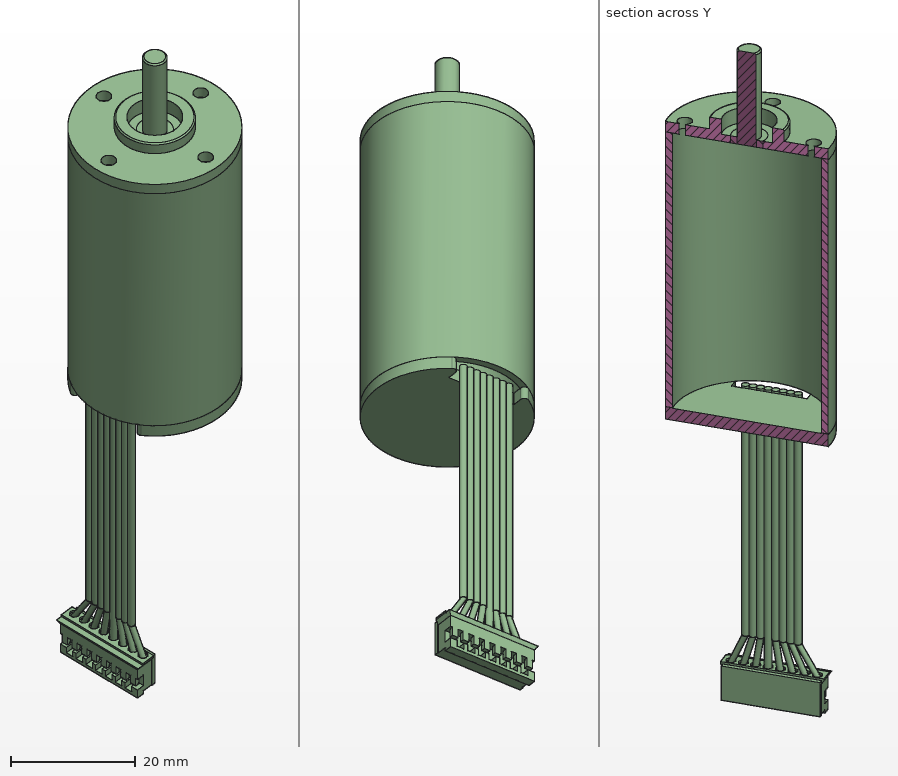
import cadquery as cq


MOTOR_DIA = 28.0
CAN_BORE_DIA = 25.5
CAN_LENGTH = 49.7
FLANGE_THICKNESS = 2.0
CAP_THICKNESS = 2.2
CAN_BOTTOM_Z = -FLANGE_THICKNESS - CAN_LENGTH
CAP_BOTTOM_Z = CAN_BOTTOM_Z - CAP_THICKNESS

BOSS_DIA = 13.0
BOSS_HEIGHT = 2.1
BOSS_CHAMFER = 0.2
MOUNT_HOLE_COUNT = 4
MOUNT_HOLE_DIA = 2.5
MOUNT_CIRCLE_DIA = 22.0

SHAFT_DIA = 4.0
SHAFT_TOP_Z = 15.0
SHAFT_CHAMFER = 0.2
BEARING_DIA = 6.0
RECESS_DIA = 9.0
RECESS_DEPTH = 2.7
BEARING_TOP_Z = BOSS_HEIGHT - RECESS_DEPTH

WIRE_COUNT = 8
CABLE_WIDTH = 10.3
WIRE_OVERLAP = 0.02
WIRE_PITCH = (CABLE_WIDTH - WIRE_OVERLAP) / WIRE_COUNT
WIRE_DIA = WIRE_PITCH + WIRE_OVERLAP
FAN_WIRE_DIA = 1.1
WIRE_Y = -10.6
FAN_TOP_Z = -96.9
STRAIGHT_WIRE = 4

NOTCH_WIDTH = 12.9
NOTCH_FLOOR_Y = -9.3
NOTCH_FILLET = 0.7

PIN_PITCH = 2.1
CONNECTOR_TOP_Z = -102.0
CONNECTOR_BOTTOM_Z = -109.2
BODY_WIDTH = 16.7
BODY_BACK_Y = -9.6
BODY_FRONT_Y = -12.9
BACK_PLATE_WIDTH = 16.9
BACK_PLATE_THICKNESS = 0.7
REAR_STEP_HEIGHT = 0.6
JAW_BACK_Y = -11.4
REAR_BOTTOM_Z = CONNECTOR_BOTTOM_Z + REAR_STEP_HEIGHT

PAD_FRONT_Y = -12.2
PAD_HEIGHT = 0.4
LIP_WIDTH = 17.6
LIP_OVERHANG = 0.4
LIP_TAPER_HEIGHT = 0.7
LIP_TOP_Z = CONNECTOR_TOP_Z - PAD_HEIGHT
LIP_BOTTOM_Z = LIP_TOP_Z - LIP_TAPER_HEIGHT
SOCKET_DIA = 1.6
SOCKET_FLOOR_Z = LIP_TOP_Z

WINDOW_TOP_Z = -105.3
WINDOW_HEIGHT = 2.2
WINDOW_BOTTOM_Z = WINDOW_TOP_Z - WINDOW_HEIGHT
TAB_WIDTH = 1.1
TAB_THICKNESS = 0.7
TAB_HEIGHT = 1.6
SLIT_WIDTH = 0.6
SLIT_DEPTH = 0.6
JAW_NOTCH_WIDTH = 1.4
JAW_NOTCH_HEIGHT = 1.1
OPENING_BOTTOM_Z = WINDOW_BOTTOM_Z - JAW_NOTCH_HEIGHT


def wire_x(index):
    """X of a wire in the parallel part of the cable."""
    return (index - (WIRE_COUNT - 1) / 2) * WIRE_PITCH


def pin_x(index):
    """X of a connector position; one wire runs straight down into its position."""
    return wire_x(STRAIGHT_WIRE) + (index - STRAIGHT_WIRE) * PIN_PITCH


CONNECTOR_X = (pin_x(0) + pin_x(WIRE_COUNT - 1)) / 2


def cylinder(diameter, bottom_z, top_z):
    return cq.Workplane("XY", origin=(0, 0, bottom_z)).circle(diameter / 2).extrude(top_z - bottom_z)


def block(center_x, width, back_y, front_y, bottom_z, top_z):
    """Box given by its centre and width along X and its limits along Y and Z."""
    size = (width, back_y - front_y, top_z - bottom_z)
    corner = (center_x - width / 2, front_y, bottom_z)
    return cq.Workplane("XY", origin=corner).box(*size, centered=False)


def make_flange():
    plate = cylinder(MOTOR_DIA, -FLANGE_THICKNESS, 0)
    boss = cylinder(BOSS_DIA, 0, BOSS_HEIGHT).faces(">Z").chamfer(BOSS_CHAMFER)
    holes = (
        cq.Workplane("XY", origin=(0, 0, -FLANGE_THICKNESS))
        .polarArray(MOUNT_CIRCLE_DIA / 2, 0, 360, MOUNT_HOLE_COUNT)
        .circle(MOUNT_HOLE_DIA / 2)
        .extrude(FLANGE_THICKNESS)
    )
    recess = cylinder(RECESS_DIA, BEARING_TOP_Z, BOSS_HEIGHT)
    bearing_seat = cylinder(BEARING_DIA, -FLANGE_THICKNESS, BEARING_TOP_Z)
    return plate.union(boss).cut(holes).cut(recess).cut(bearing_seat)


def make_bearing():
    """Bush around the shaft, flush with the floor of the recess."""
    bore = cylinder(SHAFT_DIA, -FLANGE_THICKNESS, BEARING_TOP_Z)
    return cylinder(BEARING_DIA, -FLANGE_THICKNESS, BEARING_TOP_Z).cut(bore)


def make_shaft():
    return cylinder(SHAFT_DIA, -FLANGE_THICKNESS, SHAFT_TOP_Z).faces(">Z").chamfer(SHAFT_CHAMFER)


def make_can():
    bore = cylinder(CAN_BORE_DIA, CAN_BOTTOM_Z, -FLANGE_THICKNESS)
    return cylinder(MOTOR_DIA, CAN_BOTTOM_Z, -FLANGE_THICKNESS).cut(bore)


def make_rear_cap():
    """Disc with a cable notch whose mouth is rounded at the rim."""
    disc = cylinder(MOTOR_DIA, CAP_BOTTOM_Z, CAN_BOTTOM_Z)
    notch = block(0, NOTCH_WIDTH, NOTCH_FLOOR_Y, -MOTOR_DIA / 2, CAP_BOTTOM_Z, CAN_BOTTOM_Z)
    return disc.cut(notch).edges("|Z").edges("<Y").fillet(NOTCH_FILLET)


def make_wire(index):
    """Round wire that slants sideways below the parallel part; the straight one keeps its size."""
    fan_dia = WIRE_DIA if index == STRAIGHT_WIRE else FAN_WIRE_DIA
    bend = cq.Vector(wire_x(index), WIRE_Y, FAN_TOP_Z)
    end = cq.Vector(pin_x(index), WIRE_Y, SOCKET_FLOOR_Z)
    section = cq.Wire.makeCircle(fan_dia / 2, bend, cq.Vector(0, 0, 1))
    slanted = cq.Solid.extrudeLinear(section, [], end - bend)
    parallel = (
        cq.Workplane("XY", origin=bend.toTuple())
        .circle(WIRE_DIA / 2)
        .extrude(CAN_BOTTOM_Z - FAN_TOP_Z)
    )
    return parallel.union(cq.Workplane(slanted))


def make_cable():
    cable = make_wire(0)
    for index in range(1, WIRE_COUNT):
        cable = cable.union(make_wire(index))
    return cable.clean()


def make_connector_lip():
    """Raised pad on a lip that tapers in to the body at the front and at both sides."""
    lip_front_y = BODY_FRONT_Y - LIP_OVERHANG
    pad = block(CONNECTOR_X, LIP_WIDTH, BODY_BACK_Y, PAD_FRONT_Y, LIP_TOP_Z, CONNECTOR_TOP_Z)
    front_outline = [
        (BODY_BACK_Y, LIP_TOP_Z),
        (lip_front_y, LIP_TOP_Z),
        (BODY_FRONT_Y, LIP_BOTTOM_Z),
        (BODY_BACK_Y, LIP_BOTTOM_Z),
    ]
    front_taper = (
        cq.Workplane("YZ", origin=(CONNECTOR_X, 0, 0))
        .polyline(front_outline)
        .close()
        .extrude(LIP_WIDTH / 2, both=True)
    )
    side_outline = [
        (-LIP_WIDTH / 2, LIP_TOP_Z),
        (LIP_WIDTH / 2, LIP_TOP_Z),
        (BODY_WIDTH / 2, LIP_BOTTOM_Z),
        (-BODY_WIDTH / 2, LIP_BOTTOM_Z),
    ]
    side_taper = (
        cq.Workplane("XZ", origin=(CONNECTOR_X, BODY_BACK_Y, 0))
        .polyline(side_outline)
        .close()
        .extrude(BODY_BACK_Y - lip_front_y)
    )
    return pad.union(front_taper.intersect(side_taper))


def make_connector_shell():
    """Body with a stepped bottom, a front window and a back plate."""
    body = block(CONNECTOR_X, BODY_WIDTH, BODY_BACK_Y, BODY_FRONT_Y, CONNECTOR_BOTTOM_Z, LIP_TOP_Z)
    step = block(CONNECTOR_X, BODY_WIDTH, BODY_BACK_Y, JAW_BACK_Y, CONNECTOR_BOTTOM_Z, REAR_BOTTOM_Z)
    window = block(CONNECTOR_X, BODY_WIDTH, JAW_BACK_Y, BODY_FRONT_Y, WINDOW_BOTTOM_Z, WINDOW_TOP_Z)
    plate_back_y = BODY_BACK_Y + BACK_PLATE_THICKNESS
    plate = block(CONNECTOR_X, BACK_PLATE_WIDTH, plate_back_y, BODY_BACK_Y, REAR_BOTTOM_Z, LIP_TOP_Z)
    return body.cut(step).cut(window).union(plate)


def make_tab(x):
    """Tab that hangs from the top of the window, flush with the front."""
    tab_bottom_z = WINDOW_TOP_Z - TAB_HEIGHT
    return block(x, TAB_WIDTH, BODY_FRONT_Y + TAB_THICKNESS, BODY_FRONT_Y, tab_bottom_z, WINDOW_TOP_Z)


def make_socket(x):
    """Round recess in the pad around the end of one wire."""
    return cylinder(SOCKET_DIA, SOCKET_FLOOR_Z, CONNECTOR_TOP_Z).translate((x, WIRE_Y, 0))


def make_opening(x):
    """Slit in the back of the window and a notch in the jaw below it, between two tabs."""
    slit = block(x, SLIT_WIDTH, JAW_BACK_Y + SLIT_DEPTH, BODY_FRONT_Y, OPENING_BOTTOM_Z, WINDOW_TOP_Z)
    notch = block(x, JAW_NOTCH_WIDTH, JAW_BACK_Y, BODY_FRONT_Y, OPENING_BOTTOM_Z, WINDOW_BOTTOM_Z)
    return slit.union(notch)


def make_connector():
    connector = make_connector_shell().union(make_connector_lip())
    for index in range(WIRE_COUNT):
        connector = connector.union(make_tab(pin_x(index)))
        connector = connector.cut(make_socket(pin_x(index)))
    for index in range(WIRE_COUNT - 1):
        connector = connector.cut(make_opening(pin_x(index) + PIN_PITCH / 2))
    return connector


flange = make_flange()
bearing = make_bearing()
shaft = make_shaft()
can = make_can()
rear_cap = make_rear_cap()
cable = make_cable()
connector = make_connector()

bodies = [flange, bearing, shaft, can, rear_cap, cable, connector]
result = cq.Compound.makeCompound([body.solids().val() for body in bodies])